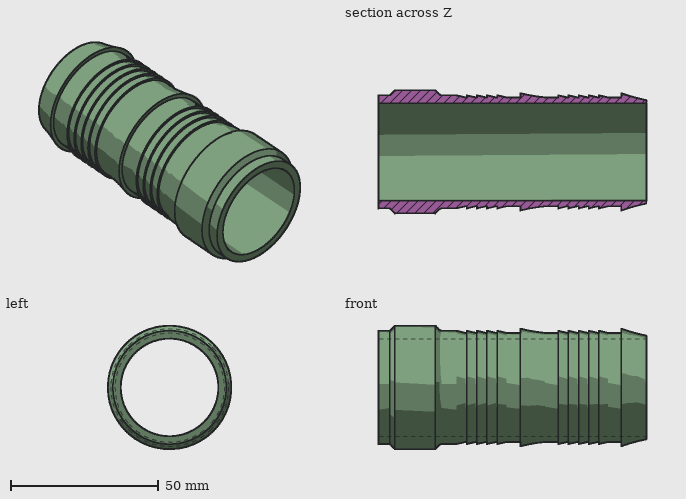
import cadquery as cq
import math

length = 91.0
bore_radius = 33.0 / 2
core_radius = 37.0 / 2
land_radius = 38.5 / 2

collar_radius = 41.95 / 2
collar_start = 3.9
collar_flat_end = 19.3
shoulder_angle = math.radians(45)
shoulder_height = collar_radius - land_radius
blend_radius = 1.2

barb_count = 5
barb_pitch = 3.5
barb_length = 3.1
barb_group_starts = (26.5, 61.0)

large_barb_radius = 39.95 / 2
flank_hollow = 0.16
middle_barb_start = 48.1
middle_barb_end = 56.6
end_barb_start = 82.4
nose_radius = 35.4 / 2
nose_round = 0.55


def add_collar(profile):
    """Draw the plain end, the collar and the blend down to the land."""
    blend_length = blend_radius * math.sin(shoulder_angle)
    blend_height = blend_radius * (1 - math.cos(shoulder_angle))
    slope_length = (shoulder_height - blend_height) / math.tan(shoulder_angle)
    slope_end = collar_flat_end + slope_length
    blend_end = slope_end + blend_length
    half_angle = shoulder_angle / 2
    blend_middle = (
        blend_end - blend_radius * math.sin(half_angle),
        land_radius + blend_radius * (1 - math.cos(half_angle)),
    )
    return (
        profile.lineTo(0, land_radius)
        .lineTo(collar_start, land_radius)
        .lineTo(collar_start + shoulder_height / math.tan(shoulder_angle), collar_radius)
        .lineTo(collar_flat_end, collar_radius)
        .lineTo(slope_end, land_radius + blend_height)
        .threePointArc(blend_middle, (blend_end, land_radius))
        .lineTo(barb_group_starts[0], land_radius)
    )


def add_small_barbs(profile, group_start):
    """Draw a row of small barbs, each tapering down to the core."""
    for index in range(barb_count):
        start = group_start + index * barb_pitch
        if index > 0:
            profile = profile.lineTo(start, core_radius)
            profile = profile.lineTo(start, land_radius)
        profile = profile.lineTo(start + barb_length, core_radius)
    return profile


def add_large_barb(profile, start, end, end_radius):
    """Draw a steep step up from the core and a hollow flank down to end_radius."""
    middle = ((start + end) / 2, (large_barb_radius + end_radius) / 2 - flank_hollow)
    return (
        profile.lineTo(start, core_radius)
        .lineTo(start, large_barb_radius)
        .threePointArc(middle, (end, end_radius))
    )


profile = cq.Workplane("XY").moveTo(0, bore_radius)
profile = add_collar(profile)
profile = add_small_barbs(profile, barb_group_starts[0])
profile = add_large_barb(profile, middle_barb_start, middle_barb_end, core_radius)
profile = profile.lineTo(barb_group_starts[1], core_radius)
profile = profile.lineTo(barb_group_starts[1], land_radius)
profile = add_small_barbs(profile, barb_group_starts[1])
profile = add_large_barb(profile, end_barb_start, length - nose_round, nose_radius)

nose_offset = nose_round * math.sqrt(0.5)
nose_middle = (length - nose_round + nose_offset, nose_radius - nose_round + nose_offset)
profile = profile.threePointArc(nose_middle, (length, nose_radius - nose_round))
profile = profile.lineTo(length, bore_radius).close()

result = profile.revolve(360, (0, 0, 0), (1, 0, 0))